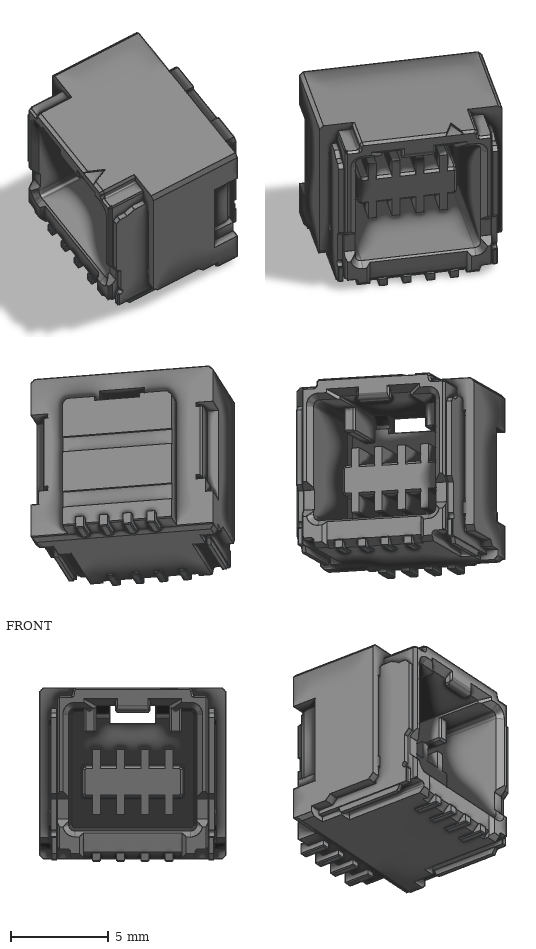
import cadquery as cq
import math

HEIGHT = 8.95
DEPTH = 8.85
WIDTH = 9.6
BASE_Z = 0.13
EDGE = 0.2

BODY_FRONT = 2.1
BODY_REAR = 7.25
SIDE_CUT_REAR = 6.07
SIDE_STEP_Z = 0.65
SIDE_LIFT_Z = 0.95
SIDE_LIFT_FRONT_Z = 1.25

REAR_WIDTH = 5.74
REAR_END = 8.42
REAR_BOTTOM = 0.34
REAR_TOP = 7.32
GROOVE_DEPTH = 0.13

SHROUD_HALF = 3.87
WING_Z = 8.54
RISER_HALF = 3.1
RISER_BEVEL = 0.13
FILLET = 0.12
NOSE_DEPTH = 0.2
NOSE_INSET = 0.1
KEEL_HALF = 3.2
KEEL_FILLET = 0.2

CAVITY_HALF = 3.3
CAVITY_BOTTOM = 1.57
CAVITY_TOP = 7.9
CAVITY_REAR = 6.25
CAVITY_RADIUS = 0.32
CAVITY_LEAD = 0.3
CAVITY_BEVEL = 0.18
CAVITY_BEVEL_DEPTH = 0.3

CONTACTS = 4
PITCH = 1.25
CONTACT_WIDTH = 0.42
CONTACT_BOTTOM = 2.41
CONTACT_TOP = 5.78
TONGUE_FRONT = 2.85
TONGUE_WIDTH = 5.34
TONGUE_BOTTOM = 3.22
TONGUE_TOP = 4.99
TONGUE_BEVEL = 0.13
TONGUE_FLARE = 0.08

LATCH_HALF = 2.52
CHANNEL_HALF = 1.9
WINDOW_HALF = 1.18
WINDOW_BOTTOM = 7.1
CHANNEL_TOP = 8.04
LATCH_MOUTH_TOP = 8.39
FUNNEL_DEPTH = 0.4
LIP_HALF = 0.88
LIP_BEVEL = 0.1
LIP_BOTTOM = 7.67
LIP_THICKNESS = 0.4
LIP_ROUNDING = 0.36
RIB_BOTTOM = 6.63
RIB_BEVEL = 0.1

PLATE_INNER = 3.92
PLATE_OUTER = 4.2
PLATE_BOTTOM = 0.41
TAB_CORNER_HEIGHT = 0.17
TAB_CORNER_LENGTH = 0.4
TAB_LEAD_LENGTH = 0.22
TAB_LEAD_INSET = 0.09
POCKET_FRONT = 5.86
POCKET_TOP = 7.0
POCKET_STEP = 2.8
POCKET_BOTTOM = 2.07


def box(x, y, z):
    """Axis-aligned box from (low, high) pairs."""
    size = (x[1] - x[0], y[1] - y[0], z[1] - z[0])
    return cq.Workplane("XY").box(*size, centered=False).translate((x[0], y[0], z[0]))


def slab(points, x_low, x_high):
    """Prism with a closed (y, z) outline, running from x_low to x_high."""
    return cq.Workplane("YZ").polyline(points).close().extrude(x_high - x_low).translate((x_low, 0, 0))


def front_plane(y):
    """Sketch plane with axes -X and +Z whose extrusions run toward +Y."""
    return cq.Workplane(cq.Plane(origin=(0, y, 0), xDir=(-1, 0, 0), normal=(0, 1, 0)))


def both_sides(right_half):
    """Add the mirror image across the X = 0 plane."""
    return right_half.union(right_half.mirror("YZ"))


def main_body():
    body = box((-WIDTH / 2, WIDTH / 2), (BODY_FRONT, BODY_REAR), (BASE_Z, HEIGHT))
    body = body.edges("|Y").chamfer(EDGE)
    heel_length = 0.39
    heel = [
        (BODY_REAR - heel_length, 0),
        (BODY_REAR - heel_length, BASE_Z),
        (BODY_REAR - heel_length + REAR_BOTTOM - BASE_Z, REAR_BOTTOM),
        (BODY_REAR, REAR_BOTTOM),
        (BODY_REAR, 0),
    ]
    body = body.cut(slab(heel, -WIDTH / 2, WIDTH / 2))
    first_ramp_rear = 5.17
    second_ramp_front = 2.37
    lift = [
        (BODY_FRONT, 0),
        (BODY_FRONT, SIDE_LIFT_FRONT_Z),
        (second_ramp_front, SIDE_LIFT_Z),
        (first_ramp_rear - (SIDE_LIFT_Z - SIDE_STEP_Z), SIDE_LIFT_Z),
        (first_ramp_rear, SIDE_STEP_Z),
        (SIDE_CUT_REAR, SIDE_STEP_Z),
        (SIDE_CUT_REAR, 0),
    ]
    return body.cut(both_sides(slab(lift, SHROUD_HALF, WIDTH)))


def rear_block():
    block = box((-REAR_WIDTH / 2, REAR_WIDTH / 2), (BODY_REAR, REAR_END), (REAR_BOTTOM, REAR_TOP))
    block = block.edges("|Y and >Z").chamfer(EDGE)
    block = block.edges(">Y and <Z").chamfer(GROOVE_DEPTH / 2)
    lower_groove = (1.37, 2.23)
    upper_groove = (4.41, 5.23)
    for groove in (lower_groove, upper_groove):
        block = block.cut(box((-WIDTH, WIDTH), (REAR_END - GROOVE_DEPTH, DEPTH), groove))
    return block


def shroud_outline(y):
    """Closed shroud section: raised roof centre, filleted risers and lower wings."""
    fillet_turn = FILLET * (1 - math.sqrt(0.5))
    wing_inner = RISER_HALF + FILLET

    def riser(side):
        start = (side * RISER_HALF, WING_Z + FILLET)
        middle = (side * (RISER_HALF + fillet_turn), WING_Z + fillet_turn)
        return start, middle, (side * wing_inner, WING_Z)

    left, right = riser(1), riser(-1)
    return (
        front_plane(y)
        .moveTo(SHROUD_HALF, SIDE_STEP_Z)
        .lineTo(SHROUD_HALF, WING_Z - NOSE_INSET)
        .lineTo(SHROUD_HALF - NOSE_INSET / 2, WING_Z)
        .lineTo(*left[2])
        .threePointArc(left[1], left[0])
        .lineTo(RISER_HALF, HEIGHT - RISER_BEVEL)
        .lineTo(RISER_HALF - RISER_BEVEL, HEIGHT)
        .lineTo(RISER_BEVEL - RISER_HALF, HEIGHT)
        .lineTo(-RISER_HALF, HEIGHT - RISER_BEVEL)
        .lineTo(*right[0])
        .threePointArc(right[1], right[2])
        .lineTo(NOSE_INSET / 2 - SHROUD_HALF, WING_Z)
        .lineTo(-SHROUD_HALF, WING_Z - NOSE_INSET)
        .lineTo(-SHROUD_HALF, SIDE_STEP_Z)
        .close()
    )


def shroud():
    straight = shroud_outline(NOSE_DEPTH).extrude(BODY_FRONT + EDGE - NOSE_DEPTH)
    nose_angle = math.degrees(math.atan2(NOSE_INSET, NOSE_DEPTH))
    nose = shroud_outline(NOSE_DEPTH).extrude(-NOSE_DEPTH, taper=nose_angle)
    nose_foot = box(
        (NOSE_INSET - SHROUD_HALF, SHROUD_HALF - NOSE_INSET),
        (0, NOSE_DEPTH),
        (SIDE_STEP_Z, CAVITY_BOTTOM),
    )
    blank_half = KEEL_HALF + KEEL_FILLET
    keel = box((-blank_half, blank_half), (0, SIDE_CUT_REAR + EDGE), (BASE_Z, SIDE_STEP_Z + KEEL_FILLET))
    keel_bevel = 0.27
    keel = keel.edges("<Y and <Z").chamfer(keel_bevel)
    wing_bevel_depth = 0.13
    wing_nose = [
        (0, WING_Z - 2 * NOSE_INSET),
        (0, WING_Z - NOSE_INSET),
        (wing_bevel_depth, WING_Z),
        (NOSE_DEPTH, WING_Z),
        (NOSE_DEPTH, WING_Z - 2 * NOSE_INSET),
    ]
    wing_noses = both_sides(slab(wing_nose, RISER_HALF, SHROUD_HALF - NOSE_INSET))
    return straight.union(nose).union(nose_foot).union(wing_noses).union(keel)


def keel_relief():
    """Clearance between keel and side plates; trims the keel flanks to a filleted root."""
    relief_rear = 4.85
    relief = box((KEEL_HALF, PLATE_INNER), (0, relief_rear), (0, SIDE_STEP_Z))
    return both_sides(relief.edges("|Y and <X and >Z").fillet(KEEL_FILLET))


def front_notches():
    """Trapezoidal notches low in the two shroud side walls."""
    depth = 0.4
    low, high = 1.78, 3.61
    outline = [(0, low), (depth, low + depth), (depth, high - depth), (0, high)]
    return both_sides(slab(outline, CAVITY_HALF, SHROUD_HALF))


def lip_recess():
    """Shallow recess in the lower lip, with 45 degree ends and a bevelled foot."""
    depth = 0.2
    half = 2.55
    recess = (
        cq.Workplane("XY")
        .polyline([(-half - depth, 0), (half + depth, 0), (half, depth), (-half, depth)])
        .close()
        .extrude(CAVITY_BOTTOM)
    )
    foot_top = 0.5
    foot = [(depth, 0), (depth, foot_top), (depth + foot_top - BASE_Z, BASE_Z), (depth + foot_top, 0)]
    return recess.union(slab(foot, -half, half))


def cavity_section(y, grow):
    """Rounded cavity section at depth y, enlarged by grow on every side."""
    width = 2 * (CAVITY_HALF + grow)
    height = CAVITY_TOP - CAVITY_BOTTOM + 2 * grow
    sketch = cq.Sketch().rect(width, height).vertices().fillet(CAVITY_RADIUS + grow)
    return front_plane(y).center(0, (CAVITY_BOTTOM + CAVITY_TOP) / 2).placeSketch(sketch)


def cavity():
    mouth = cavity_section(0, CAVITY_LEAD).extrude(CAVITY_LEAD, taper=45)
    bevel_front = CAVITY_REAR - CAVITY_BEVEL_DEPTH
    bevel_angle = math.degrees(math.atan2(CAVITY_BEVEL, CAVITY_BEVEL_DEPTH))
    straight = cavity_section(CAVITY_LEAD, 0).extrude(bevel_front - CAVITY_LEAD)
    rear = cavity_section(bevel_front, 0).extrude(CAVITY_BEVEL_DEPTH, taper=bevel_angle)
    return mouth.union(straight).union(rear)


def latch_opening():
    """Funnel and channel above the cavity, ending in a wedge and a rear window."""
    floor = RIB_BOTTOM
    mouth_height = LATCH_MOUTH_TOP - floor
    channel_height = CHANNEL_TOP - floor
    funnel = (
        front_plane(0)
        .center(0, floor + mouth_height / 2)
        .rect(2 * LATCH_HALF, mouth_height)
        .workplane(offset=FUNNEL_DEPTH)
        .center(0, (channel_height - mouth_height) / 2)
        .rect(2 * CHANNEL_HALF, channel_height)
        .loft(ruled=True)
    )
    ledge_z = 7.36
    wedge_z = 7.6
    ledge_radius = wedge_z - ledge_z
    wedge_rear = CAVITY_REAR + ledge_radius
    rounding = ledge_radius * math.sqrt(0.5)
    channel = (
        cq.Workplane("YZ")
        .moveTo(FUNNEL_DEPTH, floor)
        .lineTo(FUNNEL_DEPTH, CHANNEL_TOP)
        .lineTo(wedge_rear - (CHANNEL_TOP - wedge_z), CHANNEL_TOP)
        .lineTo(wedge_rear, wedge_z)
        .threePointArc((CAVITY_REAR + rounding, wedge_z - rounding), (CAVITY_REAR, ledge_z))
        .lineTo(CAVITY_REAR, floor)
        .close()
        .extrude(CHANNEL_HALF, both=True)
    )
    window = box((-WINDOW_HALF, WINDOW_HALF), (CAVITY_LEAD, DEPTH), (WINDOW_BOTTOM, CHANNEL_TOP))
    return funnel.union(channel).union(window)


def latch_lip():
    lip = box((-LIP_HALF, LIP_HALF), (0, LIP_THICKNESS), (LIP_BOTTOM, LATCH_MOUTH_TOP))
    rounded = lip.edges("|X and <Z and <Y").fillet(LIP_ROUNDING)
    bevelled = lip.edges("|Z and <Y").chamfer(LIP_BEVEL)
    trimmed = lip.edges("|Y and <Z").chamfer(LIP_BEVEL)
    return rounded.intersect(bevelled).intersect(trimmed)


def guide_ribs():
    rib = box((CHANNEL_HALF, LATCH_HALF), (TONGUE_FRONT, CAVITY_REAR), (RIB_BOTTOM, CHANNEL_TOP))
    faced = rib.faces("<Y").edges("not >Z").chamfer(RIB_BEVEL)
    return both_sides(faced.intersect(rib.edges("|Y and <Z").chamfer(RIB_BEVEL)))


def tongue_section(y, inset):
    """Chamfered tongue section at depth y, shrunk by inset on every side."""
    width = TONGUE_WIDTH - 2 * inset
    height = TONGUE_TOP - TONGUE_BOTTOM - 2 * inset
    sketch = cq.Sketch().rect(width, height).vertices().chamfer(TONGUE_BEVEL)
    return front_plane(y).center(0, (TONGUE_BOTTOM + TONGUE_TOP) / 2).placeSketch(sketch)


def tongue():
    """Contact tongue standing on the cavity's rear wall."""
    block = tongue_section(TONGUE_FRONT, TONGUE_FLARE).extrude(CAVITY_REAR - TONGUE_FRONT)
    block = block.faces("<Y").chamfer(TONGUE_BEVEL)
    return block.union(tongue_section(CAVITY_REAR, 0).extrude(-TONGUE_FLARE, taper=45))


def contact(x):
    """One contact column: mating bar, front tail and rear tail."""
    span = (x - CONTACT_WIDTH / 2, x + CONTACT_WIDTH / 2)
    foot_bevel = 0.06
    front_tail_y = (0.07, 1.47)
    front_tail_top = 0.5
    rear_tail_front = 7.37
    rear_tail_top = 0.62
    bar = box(span, (TONGUE_FRONT, CAVITY_REAR), (CONTACT_BOTTOM, CONTACT_TOP))
    front_tail = box(span, front_tail_y, (0, front_tail_top))
    front_tail = front_tail.edges("<Z or (|X and <Y)").chamfer(foot_bevel)
    rear_tail = box(span, (rear_tail_front, DEPTH), (0, rear_tail_top)).faces("<Z").chamfer(foot_bevel)
    return bar, front_tail, rear_tail


def side_pockets():
    deep = box((PLATE_INNER, WIDTH), (POCKET_FRONT, BODY_REAR), (POCKET_STEP, POCKET_TOP))
    shallow_depth = 0.4
    shallow_floor = WIDTH / 2 - shallow_depth
    shallow = box((shallow_floor, WIDTH), (POCKET_FRONT, BODY_REAR), (POCKET_BOTTOM, POCKET_STEP))
    return both_sides(deep.union(shallow))


def plate_slots():
    """Clearance beside the plates in the front face of the body."""
    slot_clearance = 0.12
    slot_outer = PLATE_OUTER + slot_clearance
    upper_low, upper_high = 2.45, 7.28
    lower_high = 1.85
    slope = 0.25
    rear = BODY_FRONT + slope
    upper = [
        (BODY_FRONT, upper_low),
        (rear, upper_low + slope),
        (rear, upper_high - slope),
        (BODY_FRONT, upper_high),
    ]
    lower = [
        (BODY_FRONT, SIDE_STEP_Z),
        (rear, SIDE_STEP_Z),
        (rear, lower_high - slope),
        (BODY_FRONT, lower_high),
    ]
    slots = slab(upper, PLATE_OUTER, slot_outer).union(slab(lower, PLATE_OUTER, slot_outer))
    return both_sides(slots)


def side_plates():
    """Retention plates: contoured front blade, solder tail and rear tab."""
    blade_front = 0.22
    waist_front = 0.5
    foot_front = 0.41
    relief_radius = 0.17
    relief_y = 0.46
    relief_z = 1.45
    blade_top = 7.88
    crest_corner = 0.1
    crest_front = 1.33
    shoulder_rear = 0.88
    shoulder_z = 7.64
    nose_corner = 0.22
    waist_step_z = 3.5
    strip_front = 0.33
    blade_outline = [
        (SIDE_CUT_REAR, PLATE_BOTTOM),
        (SIDE_CUT_REAR, SIDE_STEP_Z + EDGE),
        (BODY_FRONT, SIDE_LIFT_FRONT_Z + EDGE),
        (BODY_FRONT, blade_top - crest_corner),
        (BODY_FRONT - crest_corner, blade_top),
        (crest_front, blade_top),
        (shoulder_rear, shoulder_z),
        (blade_front + nose_corner, shoulder_z),
        (blade_front, shoulder_z - nose_corner),
        (blade_front, waist_step_z),
        (waist_front, waist_step_z - (waist_front - blade_front)),
        (waist_front, relief_z),
        (foot_front, relief_z - relief_radius),
        (foot_front, PLATE_BOTTOM),
    ]
    plate = slab(blade_outline, PLATE_INNER, PLATE_OUTER)
    relief = cq.Workplane("YZ").center(relief_y, relief_z).circle(relief_radius).extrude(WIDTH)
    plate = plate.cut(relief)
    tail_inner, tail_outer = 3.94, 4.15
    edge_strip = box((tail_inner, tail_outer), (strip_front, foot_front), (PLATE_BOTTOM, SIDE_LIFT_FRONT_Z))
    tail_bottom = 0.08
    tail_slope = 0.2
    tail_front, tail_rear = 0.84, 4.87
    tail_outline = [
        (tail_front, PLATE_BOTTOM),
        (tail_front + tail_slope, tail_bottom),
        (tail_rear - tail_slope, tail_bottom),
        (tail_rear, PLATE_BOTTOM),
    ]
    tail = slab(tail_outline, tail_inner, tail_outer)
    tab_clearance = 0.06
    tab = box(
        (PLATE_INNER, PLATE_OUTER),
        (POCKET_FRONT, BODY_REAR),
        (POCKET_STEP + tab_clearance, POCKET_TOP - tab_clearance),
    )
    tab = tab.edges("|X and >Y").chamfer(TAB_CORNER_HEIGHT, TAB_CORNER_LENGTH)
    tab = tab.faces(">Y").edges(">X").chamfer(TAB_LEAD_INSET, TAB_LEAD_LENGTH)
    return both_sides(plate.union(edge_strip).union(tail).union(tab))


def pin_one_mark():
    """Triangular mark sunk into the roof beside the first contact."""
    sink = 0.1
    half_base = 0.47
    length = 1.02
    x = PITCH * (CONTACTS - 1) / 2
    outline = [(x - half_base, 0), (x + half_base, 0), (x, length)]
    return cq.Workplane("XY").workplane(offset=HEIGHT - sink).polyline(outline).close().extrude(sink)


housing = main_body().union(rear_block()).union(shroud())
housing = housing.cut(keel_relief()).cut(front_notches()).cut(lip_recess())
housing = housing.cut(cavity()).cut(latch_opening())
housing = housing.cut(side_pockets()).cut(plate_slots()).cut(pin_one_mark())
housing = housing.union(latch_lip()).union(guide_ribs()).union(tongue())
for index in range(CONTACTS):
    for piece in contact(PITCH * (index - (CONTACTS - 1) / 2)):
        housing = housing.union(piece)

result = housing.union(side_plates())